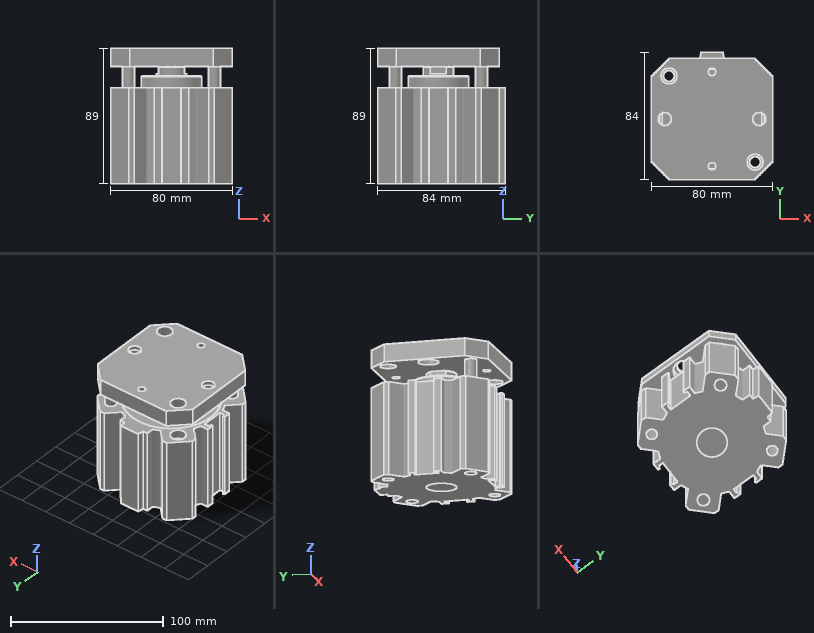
import cadquery as cq
import math

SIDE = 80.0
HALF_SIDE = SIDE / 2
OVERALL_DEPTH = 84.0
TOTAL_HEIGHT = 89.0
CORNER_RADIUS = 40.0
CORNER_OFFSET = CORNER_RADIUS / math.sqrt(2)
MOUNTING_POINTS = [(-CORNER_OFFSET, CORNER_OFFSET), (CORNER_OFFSET, -CORNER_OFFSET)]
GUIDE_POINTS = [(-CORNER_OFFSET, -CORNER_OFFSET), (CORNER_OFFSET, CORNER_OFFSET)]

HOUSING_HEIGHT = 63.2
HOUSING_CHAMFER = 12.0
BARREL_RADIUS = 35.7
LUG_WIDTH = 22.0
WALL_FILLET = 1.0
RIB_WIDTH = 22.8
RIB_FACE = 39.6
SLOT_MOUTH = 12.6
SLOT_THROAT = 11.9
SLOT_WIDTH = 16.0
SLOT_FLOOR = 34.35
LIP_TIP_THICKNESS = 1.1
LIP_ROOT_THICKNESS = 2.1
PORT_PAD_WIDTH = 14.4
PORT_PAD_BASE = 16.0
PORT_PAD_FACE = OVERALL_DEPTH - HALF_SIDE
COLLAR_DIAMETER = 40.0
COLLAR_HEIGHT = 7.7
COLLAR_CHAMFER = 0.8
COVER_DIAMETER = 65.5
COVER_RECESS = 1.0
MOUNTING_DIAMETER = 7.0
MOUNTING_HEAD_DIAMETER = 10.5
MOUNTING_HEAD_DEPTH = 6.7

PLATE_THICKNESS = 12.0
PLATE_BOTTOM = TOTAL_HEIGHT - PLATE_THICKNESS
PLATE_CHAMFER = 12.5
GUIDE_DIAMETER = 8.0
ROD_DIAMETER = 20.0
ROD_FLAT_WIDTH = 17.1
ROD_FLAT_HEIGHT = 4.6
ROD_CHAMFER = 0.45
PLATE_HOLE_OFFSET = 31.0
BOLT_DIAMETER = 8.5
BOLT_HEAD_DIAMETER = 13.5
BOLT_HEAD_DEPTH = 8.7
SMALL_HOLE_DIAMETER = 4.9


def chamfered_block(height, chamfer):
    """Square block standing on Z = 0 with its four upright edges chamfered."""
    return cq.Workplane().box(SIDE, SIDE, height, centered=(True, True, False)).edges("|Z").chamfer(chamfer)


def cylinders(points, diameter, bottom, height):
    """Upright cylinders of one size at the given points."""
    return cq.Workplane().workplane(offset=bottom).pushPoints(points).circle(diameter / 2).extrude(height)


def housing_section():
    """Extruded barrel with four corner lugs and a plain rib on each side."""
    section = cq.Workplane().circle(BARREL_RADIUS).extrude(HOUSING_HEIGHT)
    for angle in (45, 135):
        lug_pair = cq.Workplane().box(2 * SIDE, LUG_WIDTH, HOUSING_HEIGHT, centered=(True, True, False))
        section = section.union(lug_pair.rotate((0, 0, 0), (0, 0, 1), angle))
    for angle in (0, 90):
        rib_pair = cq.Workplane().box(2 * RIB_FACE, RIB_WIDTH, HOUSING_HEIGHT, centered=(True, True, False))
        section = section.union(rib_pair.rotate((0, 0, 0), (0, 0, 1), angle))
    section = section.intersect(chamfered_block(HOUSING_HEIGHT, HOUSING_CHAMFER))

    def meets_barrel(edge):
        center = edge.Center()
        return math.isclose(math.hypot(center.x, center.y), BARREL_RADIUS, rel_tol=1e-4)

    return section.edges("|Z").filter(meets_barrel).fillet(WALL_FILLET)


def sensor_slot():
    """Cutter for the undercut slot on the -Y side; the lips are sloped underneath."""
    half_outline = [
        (SLOT_MOUTH / 2, -RIB_FACE),
        (SLOT_THROAT / 2, LIP_TIP_THICKNESS - RIB_FACE),
        (SLOT_WIDTH / 2, LIP_ROOT_THICKNESS - RIB_FACE),
        (SLOT_WIDTH / 2, -SLOT_FLOOR),
    ]
    mirrored = [(-x, y) for x, y in reversed(half_outline)]
    return cq.Workplane().polyline(half_outline + mirrored).close().extrude(HOUSING_HEIGHT)


def port_pad():
    """Tapered pad along the full height of the +Y side."""
    outline = [
        (-PORT_PAD_BASE / 2, RIB_FACE),
        (PORT_PAD_BASE / 2, RIB_FACE),
        (PORT_PAD_WIDTH / 2, PORT_PAD_FACE),
        (-PORT_PAD_WIDTH / 2, PORT_PAD_FACE),
    ]
    return cq.Workplane().polyline(outline).close().extrude(HOUSING_HEIGHT)


def make_housing():
    """Cylinder housing with its collar, sensor slots and guide bores."""
    body = housing_section().union(port_pad())
    for angle in (-90, 0, 90):
        body = body.cut(sensor_slot().rotate((0, 0, 0), (0, 0, 1), angle))

    recess_floor = HOUSING_HEIGHT - COVER_RECESS
    body = body.cut(cylinders([(0, 0)], COVER_DIAMETER, recess_floor, COVER_RECESS))
    collar = cylinders([(0, 0)], COLLAR_DIAMETER, recess_floor, COLLAR_HEIGHT + COVER_RECESS)
    body = body.union(collar.faces(">Z").chamfer(COLLAR_CHAMFER))

    head_bottom = HOUSING_HEIGHT - MOUNTING_HEAD_DEPTH
    body = body.cut(cylinders(MOUNTING_POINTS, MOUNTING_DIAMETER, 0, HOUSING_HEIGHT))
    body = body.cut(cylinders(MOUNTING_POINTS, MOUNTING_HEAD_DIAMETER, head_bottom, MOUNTING_HEAD_DEPTH))

    body = body.cut(cylinders([(0, 0)], ROD_DIAMETER, 0, TOTAL_HEIGHT))
    return body.cut(cylinders(GUIDE_POINTS, GUIDE_DIAMETER, 0, HOUSING_HEIGHT))


def piston_rod():
    """Rod from the bottom of the housing to the plate, with two wrench flats facing X."""
    rod = cylinders([(0, 0)], ROD_DIAMETER, 0, PLATE_BOTTOM).faces(">Z").chamfer(ROD_CHAMFER)
    flat_zone = cq.Workplane().workplane(offset=PLATE_BOTTOM - ROD_FLAT_HEIGHT)
    sleeve = flat_zone.rect(SIDE, SIDE).rect(ROD_FLAT_WIDTH, SIDE / 2).extrude(ROD_FLAT_HEIGHT)
    return rod.cut(sleeve)


def end_plate():
    """Chamfered plate with bolt holes, small holes and access holes for the mounting bolts."""
    plate = chamfered_block(PLATE_THICKNESS, PLATE_CHAMFER).translate((0, 0, PLATE_BOTTOM))
    bolt_points = [(-PLATE_HOLE_OFFSET, 0), (PLATE_HOLE_OFFSET, 0)]
    small_points = [(0, -PLATE_HOLE_OFFSET), (0, PLATE_HOLE_OFFSET)]
    plate = plate.cut(cylinders(MOUNTING_POINTS, MOUNTING_HEAD_DIAMETER, PLATE_BOTTOM, PLATE_THICKNESS))
    plate = plate.cut(cylinders(bolt_points, BOLT_DIAMETER, PLATE_BOTTOM, PLATE_THICKNESS))
    plate = plate.cut(cylinders(bolt_points, BOLT_HEAD_DIAMETER, PLATE_BOTTOM, BOLT_HEAD_DEPTH))
    return plate.cut(cylinders(small_points, SMALL_HOLE_DIAMETER, PLATE_BOTTOM, PLATE_THICKNESS))


def make_slide():
    """Moving body: end plate carried by the piston rod and two guide rods."""
    guides = cylinders(GUIDE_POINTS, GUIDE_DIAMETER, 0, PLATE_BOTTOM)
    return end_plate().union(piston_rod()).union(guides)


housing = make_housing()
slide = make_slide()

result = cq.Compound.makeCompound([housing.solids().val(), slide.solids().val()])